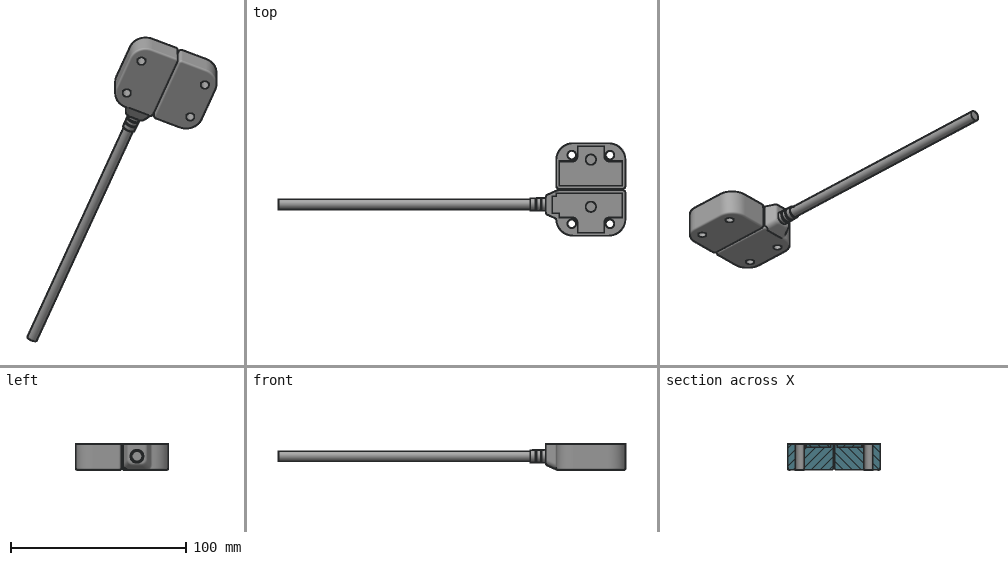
import cadquery as cq

TOTAL_LENGTH = 198.2
HOUSING_LENGTH = 39.6
HOUSING_HEIGHT = 15.0
TOTAL_WIDTH = 53.0
HOUSING_GAP = 0.5
OUTER_CORNER_RADIUS = 9.7
INNER_CORNER_RADIUS = 1.8
BOTTOM_FILLET = 1.2

HALF_LENGTH = HOUSING_LENGTH / 2
OUTER_Y = TOTAL_WIDTH / 2
INNER_Y = HOUSING_GAP / 2
HOUSING_WIDTH = OUTER_Y - INNER_Y

HOLE_DIAMETER = 4.8
HOLE_X = 11.0
HOLE_Y = 19.6

COVER_THICKNESS = 2.0
COVER_INSET = 1.8
COVER_TONGUE_HALF = 7.5
COVER_BEND_RADIUS = 3.4
COVER_X = HALF_LENGTH - COVER_INSET
COVER_OUTER_Y = OUTER_Y - COVER_INSET
COVER_INNER_Y = INNER_Y + COVER_INSET
POCKET_SHOULDER_Y = 16.3
SHOULDER_CLEARANCE = 0.4
COVER_SHOULDER_Y = POCKET_SHOULDER_Y - SHOULDER_CLEARANCE
COVER_BASE_Z = HOUSING_HEIGHT - COVER_THICKNESS

DISC_DIAMETER = 6.0
ACTUATOR_DISC_Y = 17.0
SENSOR_DISC_Y = -10.0

CABLE_DIAMETER = 6.0
CABLE_Y = -8.5
CABLE_Z = 8.0
CABLE_END_X = HALF_LENGTH - TOTAL_LENGTH

NOSE_LENGTH = 6.0
NOSE_Y = -8.7
NOSE_FACE_HALF = 5.4
NOSE_SIDE_SLOPE = 0.45
NOSE_BOTTOM_RISE = 3.0
NOSE_OVERLAP = 0.8
NOSE_LOWER_FILLET = 3.5
NOSE_FACE_FILLET = 1.8
NOSE_BLEND_RADIUS = 1.4
NOSE_FACE_X = -HALF_LENGTH - NOSE_LENGTH

COVER_ARM_X = -22.0
COVER_ARM_INNER_Y = -4.0
COVER_ARM_OUTER_Y = -13.5
COVER_ARM_STEP_X = -19.6

SLEEVE_LENGTH = 9.0
SLEEVE_TIP_DIAMETER = 7.1
SLEEVE_ROOT_DIAMETER = 7.5
SLEEVE_TIP_X = NOSE_FACE_X - SLEEVE_LENGTH
GROOVE_WIDTH = 0.5
GROOVE_FLOOR_DIAMETER = 6.7
GROOVE_CENTRES = [3.4, 6.3]


def housing_block():
    """Housing on the +Y side, with rounded corners and a filleted underside edge."""
    block = (
        cq.Workplane("XY")
        .box(HOUSING_LENGTH, HOUSING_WIDTH, HOUSING_HEIGHT, centered=(True, False, False))
        .translate((0, INNER_Y, 0))
    )
    block = block.edges("|Z and >Y").fillet(OUTER_CORNER_RADIUS)
    block = block.edges("|Z and <Y").fillet(INNER_CORNER_RADIUS)
    return block.faces("<Z").fillet(BOTTOM_FILLET)


def mounting_holes(side):
    """Cutters for the two holes of the housing on the given side of Y = 0."""
    return (
        cq.Workplane("XY")
        .pushPoints([(-HOLE_X, side * HOLE_Y), (HOLE_X, side * HOLE_Y)])
        .circle(HOLE_DIAMETER / 2)
        .extrude(HOUSING_HEIGHT)
    )


def cover_shape(shoulder_y):
    """T-shaped plate on the +Y side, bending around the holes, with shoulders at the given Y."""
    bend_x = COVER_TONGUE_HALF + COVER_BEND_RADIUS
    bend_y = shoulder_y + COVER_BEND_RADIUS
    return (
        cq.Workplane("XY", origin=(0, 0, COVER_BASE_Z))
        .moveTo(-COVER_X, COVER_INNER_Y)
        .lineTo(COVER_X, COVER_INNER_Y)
        .lineTo(COVER_X, shoulder_y)
        .lineTo(bend_x, shoulder_y)
        .radiusArc((COVER_TONGUE_HALF, bend_y), COVER_BEND_RADIUS)
        .lineTo(COVER_TONGUE_HALF, COVER_OUTER_Y)
        .lineTo(-COVER_TONGUE_HALF, COVER_OUTER_Y)
        .lineTo(-COVER_TONGUE_HALF, bend_y)
        .radiusArc((-bend_x, shoulder_y), COVER_BEND_RADIUS)
        .lineTo(-COVER_X, shoulder_y)
        .close()
        .extrude(COVER_THICKNESS)
    )


def sensor_cover_shape(shoulder_y):
    """Mirrored plate on the -Y side, with a stepped arm over the nose."""
    arm = (
        cq.Workplane("XY", origin=(0, 0, COVER_BASE_Z))
        .moveTo(0, -COVER_INNER_Y)
        .lineTo(COVER_ARM_STEP_X, -COVER_INNER_Y)
        .lineTo(COVER_ARM_STEP_X, COVER_ARM_INNER_Y)
        .lineTo(COVER_ARM_X, COVER_ARM_INNER_Y)
        .lineTo(COVER_ARM_X, COVER_ARM_OUTER_Y)
        .lineTo(0, COVER_ARM_OUTER_Y)
        .close()
        .extrude(COVER_THICKNESS)
    )
    return cover_shape(shoulder_y).mirror("XZ").union(arm)


def marker_disc(y):
    """Disc as thick as the cover it sits in."""
    return (
        cq.Workplane("XY", origin=(0, y, COVER_BASE_Z))
        .circle(DISC_DIAMETER / 2)
        .extrude(COVER_THICKNESS)
    )


def nose():
    """Tapered nose, widening towards the housing, with a sloping underside."""
    root_x = -HALF_LENGTH + NOSE_OVERLAP
    root_half = NOSE_FACE_HALF + NOSE_SIDE_SLOPE * (root_x - NOSE_FACE_X)
    plan = (
        cq.Workplane("XY")
        .polyline([
            (NOSE_FACE_X, NOSE_Y - NOSE_FACE_HALF),
            (root_x, NOSE_Y - root_half),
            (root_x, NOSE_Y + root_half),
            (NOSE_FACE_X, NOSE_Y + NOSE_FACE_HALF),
        ])
        .close()
        .extrude(HOUSING_HEIGHT)
    )
    profile = (
        cq.Workplane("XZ")
        .polyline([
            (NOSE_FACE_X, NOSE_BOTTOM_RISE),
            (root_x, 0),
            (root_x, HOUSING_HEIGHT),
            (NOSE_FACE_X, HOUSING_HEIGHT),
        ])
        .close()
        .extrude(OUTER_Y)
    )
    body = plan.intersect(profile)
    body = body.faces("<Z").edges("not (>X or <X)").fillet(NOSE_LOWER_FILLET)
    return body.faces("<X").edges("not >Z").fillet(NOSE_FACE_FILLET)


def sensor_block():
    """Housing on the -Y side with its nose, the outer flank of the nose blended into the block."""
    block = housing_block().mirror("XZ").union(nose())
    flank_y = NOSE_Y - NOSE_FACE_HALF - NOSE_SIDE_SLOPE * NOSE_LENGTH
    flank_edge = cq.selectors.NearestToPointSelector((-HALF_LENGTH, flank_y, HOUSING_HEIGHT))
    return block.edges("|Z").edges(flank_edge).fillet(NOSE_BLEND_RADIUS)


def strain_relief():
    """Tapered solid sleeve with ring grooves."""
    axis_plane = cq.Plane(origin=(SLEEVE_TIP_X, CABLE_Y, CABLE_Z), xDir=(0, 1, 0), normal=(1, 0, 0))
    sleeve = (
        cq.Workplane(axis_plane)
        .circle(SLEEVE_TIP_DIAMETER / 2)
        .workplane(offset=SLEEVE_LENGTH)
        .circle(SLEEVE_ROOT_DIAMETER / 2)
        .loft()
    )
    for centre in GROOVE_CENTRES:
        ring = (
            cq.Workplane(axis_plane)
            .workplane(offset=centre - GROOVE_WIDTH / 2)
            .circle(SLEEVE_ROOT_DIAMETER / 2)
            .circle(GROOVE_FLOOR_DIAMETER / 2)
            .extrude(GROOVE_WIDTH)
        )
        sleeve = sleeve.cut(ring)
    return sleeve


cable = (
    cq.Workplane("YZ", origin=(CABLE_END_X, CABLE_Y, CABLE_Z))
    .circle(CABLE_DIAMETER / 2)
    .extrude(NOSE_FACE_X - CABLE_END_X)
)
sleeve = strain_relief().cut(cable)

actuator_disc = marker_disc(ACTUATOR_DISC_Y)
actuator_cover = cover_shape(COVER_SHOULDER_Y).cut(actuator_disc)
actuator_housing = housing_block().cut(mounting_holes(1)).cut(cover_shape(POCKET_SHOULDER_Y))

sensor_disc = marker_disc(SENSOR_DISC_Y)
sensor_cover = sensor_cover_shape(COVER_SHOULDER_Y).cut(sensor_disc)
sensor_housing = sensor_block().cut(mounting_holes(-1)).cut(sensor_cover_shape(POCKET_SHOULDER_Y))

result = cq.Compound.makeCompound([
    actuator_housing.solids().val(),
    actuator_cover.solids().val(),
    actuator_disc.solids().val(),
    sensor_housing.solids().val(),
    sensor_cover.solids().val(),
    sensor_disc.solids().val(),
    sleeve.solids().val(),
    cable.solids().val(),
])